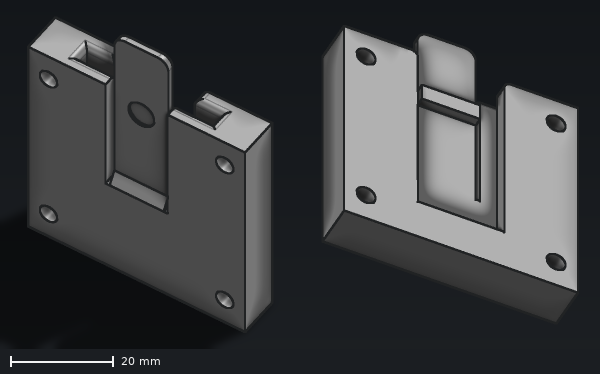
import cadquery as cq

PLATE_SIZE = 50.8
PLATE_DEPTH = 9.5
TOTAL_HEIGHT = 63.5

SLOT_WIDTH = 31.55
NECK_WIDTH = 18.8
SLOT_FRONT = 3.2
SLOT_BACK = 6.2
SLOT_FLOOR = (PLATE_SIZE - SLOT_WIDTH) / 2
MOUTH_RADIUS = 1.45

WINDOW_WIDTH = 14.55
WINDOW_FLOOR = 22.85
TONGUE_WIDTH = 12.65
TONGUE_THICKNESS = 1.5
TONGUE_CORNER_RADIUS = 2.5
ROOT_HEIGHT = 2.8
TONGUE_FRONT = SLOT_FRONT - TONGUE_THICKNESS

DIMPLE_DIAMETER = 6.05
DIMPLE_HEIGHT = 45.1
DIMPLE_DEPTH = 0.5
CATCH_DEPTH = 2.0
CATCH_HEIGHT = 3.8

HOLE_DIAMETER = 4.05
HOLE_SPACING_X = 41.3
HOLE_SPACING_Z = 38.1


def block(width, front, back, bottom, top):
    """Box centred on x = 0 between the given y and z limits."""
    return (
        cq.Workplane("XY")
        .box(width, back - front, top - bottom, centered=(True, False, False))
        .translate((0, front, bottom))
    )


def make_plate():
    plate = block(PLATE_SIZE, 0, PLATE_DEPTH, 0, PLATE_SIZE)
    slot = block(SLOT_WIDTH, SLOT_FRONT, SLOT_BACK, SLOT_FLOOR, PLATE_SIZE)
    neck = block(NECK_WIDTH, SLOT_FRONT, PLATE_DEPTH, SLOT_FLOOR, PLATE_SIZE)
    plate = plate.cut(slot.union(neck))

    margin = 0.65
    mouth_edges = cq.selectors.BoxSelector(
        (-SLOT_WIDTH / 2 - margin, SLOT_FRONT - margin, PLATE_SIZE - margin),
        (SLOT_WIDTH / 2 + margin, PLATE_DEPTH - margin, PLATE_SIZE + margin),
    )
    plate = plate.faces(">Z").edges(mouth_edges).fillet(MOUTH_RADIUS)

    window = block(WINDOW_WIDTH, 0, SLOT_FRONT, WINDOW_FLOOR, PLATE_SIZE)
    return plate.cut(window)


def make_tongue():
    tongue = block(TONGUE_WIDTH, TONGUE_FRONT, SLOT_FRONT, WINDOW_FLOOR, TOTAL_HEIGHT)
    tongue = tongue.faces(">Z").edges("|Y").fillet(TONGUE_CORNER_RADIUS)

    root = (
        cq.Workplane("YZ")
        .moveTo(0, WINDOW_FLOOR)
        .lineTo(TONGUE_FRONT, WINDOW_FLOOR)
        .lineTo(TONGUE_FRONT, WINDOW_FLOOR + ROOT_HEIGHT)
        .close()
        .extrude(TONGUE_WIDTH / 2, both=True)
    )
    catch = block(
        TONGUE_WIDTH,
        SLOT_FRONT,
        SLOT_FRONT + CATCH_DEPTH,
        DIMPLE_HEIGHT - CATCH_HEIGHT / 2,
        DIMPLE_HEIGHT + CATCH_HEIGHT / 2,
    )
    dimple = (
        cq.Workplane("XZ", origin=(0, TONGUE_FRONT, DIMPLE_HEIGHT))
        .circle(DIMPLE_DIAMETER / 2)
        .extrude(-DIMPLE_DEPTH)
    )
    return tongue.union(root).union(catch).cut(dimple)


def make_holes():
    return (
        cq.Workplane("XZ", origin=(0, 0, PLATE_SIZE / 2))
        .rarray(HOLE_SPACING_X, HOLE_SPACING_Z, 2, 2)
        .circle(HOLE_DIAMETER / 2)
        .extrude(-PLATE_DEPTH)
    )


result = make_plate().union(make_tongue()).cut(make_holes())